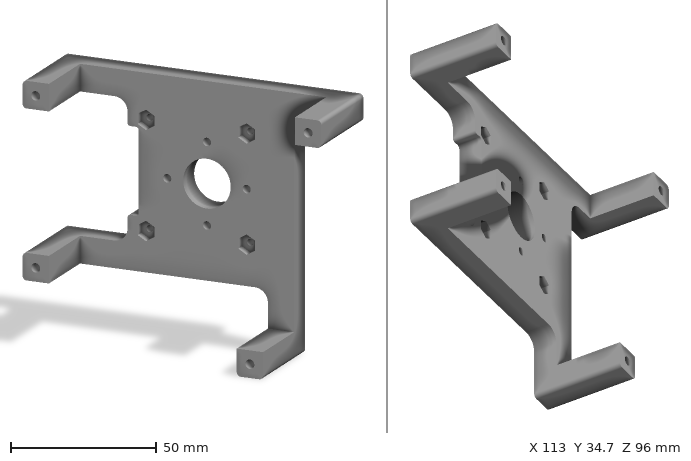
import cadquery as cq

width = 113.0
depth = 34.7
height = 96.0

plate_thickness = 9.0
arm_width = 10.0
leg_length = depth - plate_thickness

body_height = 71.9
body_bottom = height - body_height
body_middle = body_bottom + body_height / 2
body_left = 27.9
body_right = 91.0
notch_depth = 4.2
notch_height = 32.0
arm_fillet = 5.0
corner_radius = 1.5
notch_radius = 1.0

bore_x = 58.0
bore_z = 59.1
bore_diameter = 18.0
bolt_circle_radius = 15.0
bolt_hole_diameter = 3.0
bolt_hole_count = 4
leg_hole_diameter = 3.4

nut_spacing_x = 38.1
nut_spacing_z = 40.0
nut_across_corners = 7.3
nut_pocket_depth = 3.0
nut_hole_diameter = 2.5

top_arm_bottom = height - arm_width
lower_arm_top = body_bottom + arm_width
column_left = body_right - arm_width
notch_right = body_left + notch_depth
notch_bottom = body_middle - notch_height / 2
notch_top = body_middle + notch_height / 2

leg_centers = [
    (arm_width / 2, height - arm_width / 2),
    (width - arm_width / 2, height - arm_width / 2),
    (arm_width / 2, body_bottom + arm_width / 2),
    (body_right - arm_width / 2, arm_width / 2),
]

nut_middle_x = bore_x + bolt_circle_radius - nut_spacing_x / 2
nut_centers = [
    (nut_middle_x + side_x * nut_spacing_x / 2, bore_z + side_z * nut_spacing_z / 2)
    for side_x in (-1, 1)
    for side_z in (-1, 1)
]


def front_plane(y):
    """Plane facing -Y at the given Y, with local axes X and Z; negative extrusions go toward +Y."""
    return cq.Workplane("XZ", origin=(0, y, 0))


def fillet_edges_at(body, corners, radius):
    """Round the edges parallel to Y that pass through the given (x, z) corners."""
    edges = cq.Workplane()
    for x, z in corners:
        edges = edges.add(body.edges(cq.selectors.NearestToPointSelector((x, depth / 2, z))))
    return cq.Workplane(body.val().fillet(radius, edges.vals()))


def full_depth_outline():
    """The plate outline as a prism through the whole depth, with its corners rounded."""
    outer_corners = [
        (0, height),
        (width, height),
        (width, top_arm_bottom),
        (body_right, 0),
        (column_left, 0),
        (0, body_bottom),
        (0, lower_arm_top),
        (0, top_arm_bottom),
    ]
    arm_corners = [
        (body_right, top_arm_bottom),
        (column_left, body_bottom),
        (body_left, lower_arm_top),
        (body_left, top_arm_bottom),
    ]
    notch_corners = [
        (body_left, notch_bottom),
        (notch_right, notch_bottom),
        (notch_right, notch_top),
        (body_left, notch_top),
    ]
    outline = [
        (0, height),
        (width, height),
        (width, top_arm_bottom),
        (body_right, top_arm_bottom),
        (body_right, 0),
        (column_left, 0),
        (column_left, body_bottom),
        (0, body_bottom),
        (0, lower_arm_top),
        (body_left, lower_arm_top),
        *notch_corners,
        (body_left, top_arm_bottom),
        (0, top_arm_bottom),
    ]
    prism = front_plane(0).polyline(outline).close().extrude(-depth)
    prism = fillet_edges_at(prism, outer_corners, corner_radius)
    prism = fillet_edges_at(prism, arm_corners, arm_fillet)
    return fillet_edges_at(prism, notch_corners, notch_radius)


def plate_and_legs():
    """Keep the outline prism at full depth only on the legs, and at plate thickness elsewhere."""
    plate_zone = front_plane(leg_length).rect(2 * width, 2 * height).extrude(-plate_thickness)
    leg_zone = front_plane(0).pushPoints(leg_centers).rect(arm_width, arm_width).extrude(-depth)
    return full_depth_outline().intersect(plate_zone.union(leg_zone))


def through_holes(centers, diameter):
    """Round cutters through the whole depth at the given (x, z) centers."""
    return front_plane(0).pushPoints(centers).circle(diameter / 2).extrude(-depth)


def bolt_holes():
    """Ring of round cutters around the central bore."""
    return (
        front_plane(0)
        .center(bore_x, bore_z)
        .polarArray(bolt_circle_radius, 0, 360, bolt_hole_count)
        .circle(bolt_hole_diameter / 2)
        .extrude(-depth)
    )


def nut_pockets():
    """Hexagons sunk into the front of the plate, each with one corner pointing up."""
    pockets = cq.Workplane()
    for x, z in nut_centers:
        pocket = (
            front_plane(leg_length)
            .center(x, z)
            .transformed(rotate=(0, 0, 90))
            .polygon(6, nut_across_corners)
            .extrude(-nut_pocket_depth)
        )
        pockets = pockets.add(pocket)
    return pockets.combine()


result = (
    plate_and_legs()
    .cut(through_holes([(bore_x, bore_z)], bore_diameter))
    .cut(bolt_holes())
    .cut(through_holes(leg_centers, leg_hole_diameter))
    .cut(through_holes(nut_centers, nut_hole_diameter))
    .cut(nut_pockets())
)